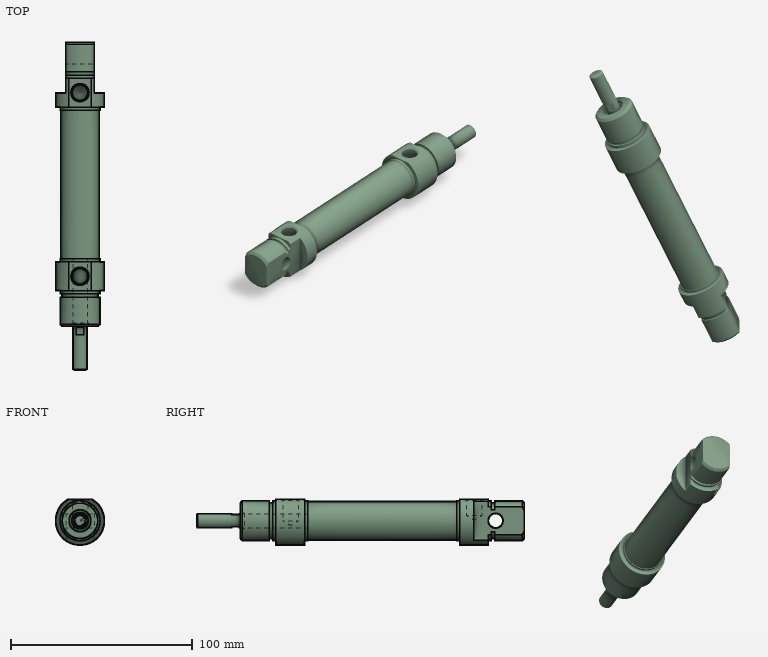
import cadquery as cq
import math

TOTAL_LENGTH = 181.0

HEAD_DIA = 27.0
HEAD_LENGTH = 16.0
PORT_FLAT_HEIGHT = 12.0
NECK_DIA = 22.0
GROOVE_DIA = 20.0
GROOVE_LENGTH = 2.0
SPIGOT_LENGTH = 1.6
END_CHAMFER = 1.3

PORT_DIA = 8.5
PORT_MOUTH_DIA = 10.0
PORT_MOUTH_DEPTH = (PORT_MOUTH_DIA - PORT_DIA) / 2
REAR_PORT_DEPTH = 9.0
DRILL_POINT_ANGLE = 118.0

NOSE_START = 24.0
FRONT_HEAD_START = 43.8
FRONT_COLLAR_LENGTH = 1.6
FRONT_HEAD_END = FRONT_HEAD_START + HEAD_LENGTH
FRONT_COVER_END = FRONT_HEAD_END + SPIGOT_LENGTH
FRONT_PORT_Y = FRONT_HEAD_START + HEAD_LENGTH / 2
RECESS_DIA = 12.1
RECESS_DEPTH = 1.0
ROD_CLEARANCE_DIA = 9.0
ROD_CLEARANCE_DEPTH = 2.2

REAR_HEAD_END = TOTAL_LENGTH - 20.0
REAR_HEAD_START = REAR_HEAD_END - HEAD_LENGTH
REAR_COVER_START = REAR_HEAD_START - SPIGOT_LENGTH
REAR_COLLAR_LENGTH = 1.6
REAR_PORT_Y = REAR_HEAD_START + HEAD_LENGTH / 2
TANG_WIDTH = 16.0
TANG_LENGTH = 28.0
PIVOT_HOLE_DIA = 8.0
PIVOT_HOLE_Y = TOTAL_LENGTH - 16.0

BARREL_DIA = 21.4

ROD_DIA = 8.0
ROD_TIP_DIA = 6.0
ROD_TIP_LENGTH = 0.5
ROD_FLAT_WIDTH = 6.9
ROD_FLAT_START = 19.4
ROD_FLAT_END = 23.5


def rod_section(start_dia, end_dia, y_start, y_end):
    """Solid of revolution about Y, straight or tapered, between two stations."""
    profile = [(0, y_start), (start_dia / 2, y_start), (end_dia / 2, y_end), (0, y_end)]
    return cq.Workplane("XY").polyline(profile).close().revolve(360, (0, 0, 0), (0, 1, 0))


def cylinder(dia, y_start, y_end):
    return rod_section(dia, dia, y_start, y_end)


def box_between(width, height, y_start, y_end):
    """Box centred on the cylinder axis."""
    return cq.Workplane("XY").box(width, y_end - y_start, height).translate((0, (y_start + y_end) / 2, 0))


def make_head(y_start):
    """Round cover head with the flat port face on top."""
    y_end = y_start + HEAD_LENGTH
    above_flat = box_between(HEAD_DIA, HEAD_DIA, y_start, y_end)
    above_flat = above_flat.translate((0, 0, PORT_FLAT_HEIGHT + HEAD_DIA / 2))
    return cylinder(HEAD_DIA, y_start, y_end).cut(above_flat)


def port_cutter(y, depth):
    """Vertical port with a chamfered mouth and a conical drill point below the given depth."""
    floor = PORT_FLAT_HEIGHT - depth
    radius = PORT_DIA / 2
    point_depth = radius / math.tan(math.radians(DRILL_POINT_ANGLE / 2))
    profile = [
        (0, floor - point_depth),
        (radius, floor),
        (radius, PORT_FLAT_HEIGHT - PORT_MOUTH_DEPTH),
        (PORT_MOUTH_DIA / 2, PORT_FLAT_HEIGHT),
        (0, PORT_FLAT_HEIGHT),
    ]
    cutter = cq.Workplane("XZ").polyline(profile).close().revolve(360, (0, 0, 0), (0, 1, 0))
    return cutter.translate((0, y, 0))


def make_front_cover():
    groove_end = FRONT_HEAD_START - FRONT_COLLAR_LENGTH
    groove_start = groove_end - GROOVE_LENGTH
    nose = cylinder(NECK_DIA, NOSE_START, groove_start).faces("<Y").chamfer(END_CHAMFER)
    groove = cylinder(GROOVE_DIA, groove_start, groove_end)
    collar = cylinder(NECK_DIA, groove_end, FRONT_HEAD_START)
    spigot = cylinder(NECK_DIA, FRONT_HEAD_END, FRONT_COVER_END)
    cover = nose.union(groove).union(collar).union(make_head(FRONT_HEAD_START)).union(spigot)

    cover = cover.cut(port_cutter(FRONT_PORT_Y, PORT_FLAT_HEIGHT))

    cover = cover.cut(cylinder(ROD_DIA, NOSE_START, FRONT_COVER_END))
    cover = cover.cut(cylinder(ROD_CLEARANCE_DIA, NOSE_START, NOSE_START + ROD_CLEARANCE_DEPTH))
    return cover.cut(cylinder(RECESS_DIA, NOSE_START, NOSE_START + RECESS_DEPTH))


def make_rear_cover():
    groove_start = REAR_HEAD_END + REAR_COLLAR_LENGTH
    groove_end = groove_start + GROOVE_LENGTH
    spigot = cylinder(NECK_DIA, REAR_COVER_START, REAR_HEAD_START)
    collar = cylinder(NECK_DIA, REAR_HEAD_END, groove_start)
    groove = cylinder(GROOVE_DIA, groove_start, groove_end)
    tail = cylinder(NECK_DIA, groove_end, TOTAL_LENGTH).faces(">Y").chamfer(END_CHAMFER)
    cover = spigot.union(make_head(REAR_HEAD_START)).union(collar).union(groove).union(tail)

    tang_start = TOTAL_LENGTH - TANG_LENGTH
    envelope = box_between(HEAD_DIA, HEAD_DIA, REAR_COVER_START, tang_start)
    envelope = envelope.union(box_between(TANG_WIDTH, HEAD_DIA, tang_start, TOTAL_LENGTH))
    cover = cover.intersect(envelope)

    pivot_hole = cq.Workplane("YZ").center(PIVOT_HOLE_Y, 0).circle(PIVOT_HOLE_DIA / 2)
    cover = cover.cut(pivot_hole.extrude(TANG_WIDTH, both=True))
    return cover.cut(port_cutter(REAR_PORT_Y, REAR_PORT_DEPTH))


def make_barrel():
    return cylinder(BARREL_DIA, FRONT_COVER_END, REAR_COVER_START)


def make_piston_rod():
    tip = rod_section(ROD_TIP_DIA, ROD_DIA, 0, ROD_TIP_LENGTH)
    rod = tip.union(cylinder(ROD_DIA, ROD_TIP_LENGTH, FRONT_COVER_END))

    for side in (1, -1):
        flat_offset = side * (ROD_FLAT_WIDTH + ROD_DIA) / 2
        flat_cutter = box_between(ROD_DIA, ROD_DIA, ROD_FLAT_START, ROD_FLAT_END)
        rod = rod.cut(flat_cutter.translate((0, 0, flat_offset)))
    return rod


front_cover = make_front_cover()
rear_cover = make_rear_cover()
barrel = make_barrel()
piston_rod = make_piston_rod()

result = cq.Compound.makeCompound(
    [front_cover.val(), rear_cover.val(), barrel.val(), piston_rod.val()]
)